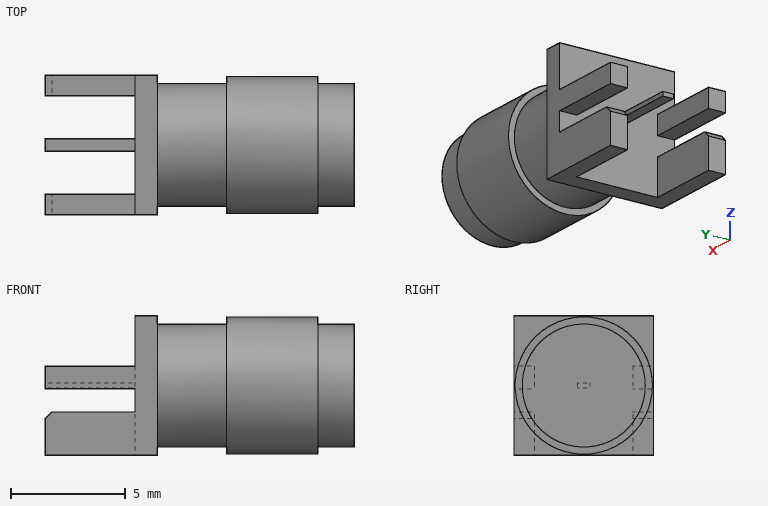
import cadquery as cq

total_length = 13.5
flange_side = 6.1
half_side = flange_side / 2

flange_start = 3.92
flange_thickness = 0.99
flange_end = flange_start + flange_thickness

barrel_diameter = 5.37
collar_diameter = 6.0
collar_start = 7.92
collar_length = 3.98

leg_width = 0.9
upper_leg_bottom = -0.15
upper_leg_height = 1.0
lower_leg_height = 1.9
leg_chamfer = 0.3
pin_width = 0.55
pin_height = 0.22


def x_cylinder(diameter, start, length):
    """Cylinder on the connector axis."""
    return cq.Workplane("YZ", origin=(start, 0, 0)).circle(diameter / 2).extrude(length)


def leg(bottom, height, y_center):
    """Square-ended bar from X = 0 to the flange."""
    return cq.Workplane("XY", origin=(0, y_center, bottom)).box(
        flange_start, leg_width, height, centered=(False, True, False)
    )


flange = cq.Workplane("XY", origin=(flange_start, 0, 0)).box(
    flange_thickness, flange_side, flange_side, centered=(False, True, True)
)
barrel = x_cylinder(barrel_diameter, flange_end, total_length - flange_end)
collar = x_cylinder(collar_diameter, collar_start, collar_length)
pin = cq.Workplane("XY").box(
    flange_start, pin_width, pin_height, centered=(False, True, True)
)
result = flange.union(barrel).union(collar).union(pin)

for side in (-1, 1):
    leg_center = side * (half_side - leg_width / 2)
    upper_leg = leg(upper_leg_bottom, upper_leg_height, leg_center)
    lower_leg = leg(-half_side, lower_leg_height, leg_center)
    lower_leg = lower_leg.faces("<X").edges(">Z").chamfer(leg_chamfer)
    result = result.union(upper_leg).union(lower_leg)